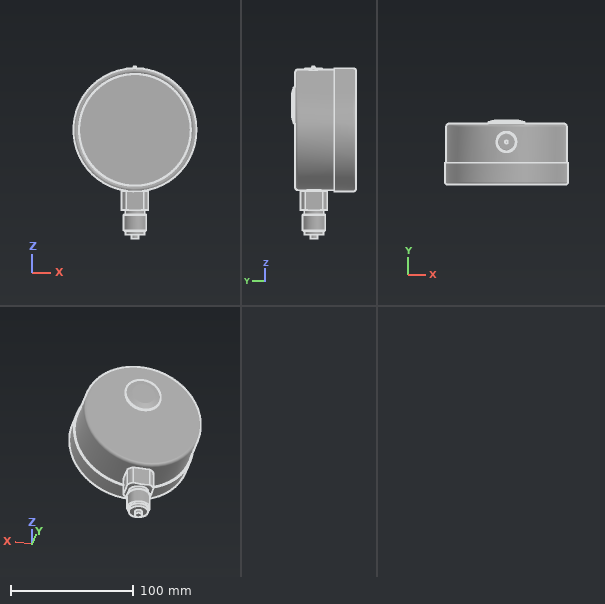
import cadquery as cq


CASE_DIA = 99.0
BEZEL_DIA = 100.8
BODY_DEPTH = 50.0
BEZEL_DEPTH = 18.1
CASE_BACK_ROUND = 2.7
FRONT_Y = -34.5
BACK_Y = FRONT_Y + BODY_DEPTH

WINDOW_DIA = 91.0
BEZEL_LIP_ROUND = 2.3
WINDOW_RECESS = 2.7
WINDOW_Y = FRONT_Y + WINDOW_RECESS

DISC_DIA = 30.0
DISC_SHOULDER_DIA = 29.4
DISC_FLAT_DIA = 18.8
DISC_RIM = 0.5
DISC_BEVEL = 0.5
DISC_HEIGHT = 2.5
DISC_DOME_RADIUS = 50.8
DISC_Z = 20.0

PLUG_Y = 0.4
PLUG_DIA = 15.0
PLUG_TOP_Z = 50.3
PLUG_ROOT_DEPTH = 4.2
PLUG_ROUND = 1.3
SEAT_DIA = 17.0
SEAT_FLOOR_DIA = 15.8
SEAT_DEPTH = 1.7
PIN_DIA = 2.5
PIN_TOP_Z = 52.1

WRENCH_WIDTH = 22.0
WRENCH_CORNER_DIA = 26.1
WRENCH_END_CONE = 0.5
NECK_DIA = 16.2
NECK_ROOT_DEPTH = 2.7
THREAD_DIA = 18.8
SPIGOT_DIA = 15.8
TIP_DIA = 6.0
WRENCH_TOP_Z = -50.0
WRENCH_BOTTOM_Z = -65.8
NECK_BOTTOM_Z = -68.9
THREAD_BOTTOM_Z = -83.0
SPIGOT_BOTTOM_Z = -85.8
TIP_BOTTOM_Z = -89.1
THREAD_TOP_CHAMFER = 0.7
THREAD_END_CHAMFER = 1.1


def cylinder_along_y(diameter, start_y, length):
    """Cylinder on the dial axis, running from start_y towards +Y."""
    plane = cq.Workplane("XZ", origin=(0, start_y, 0))
    return plane.circle(diameter / 2).extrude(-length)


def cylinder_along_z(diameter, bottom_z, top_z, y=0):
    """Vertical cylinder between two levels."""
    plane = cq.Workplane("XY", origin=(0, y, bottom_z))
    return plane.circle(diameter / 2).extrude(top_z - bottom_z)


def make_bezel():
    """Ring with a fully rounded front lip, closed by the window behind the lip."""
    outer = BEZEL_DIA / 2
    lip_y = FRONT_Y + BEZEL_LIP_ROUND
    lip_center = outer - BEZEL_LIP_ROUND
    bore = outer - 2 * BEZEL_LIP_ROUND
    back_y = FRONT_Y + BEZEL_DEPTH
    return (
        cq.Workplane("XY")
        .moveTo(0, back_y)
        .lineTo(outer, back_y)
        .lineTo(outer, lip_y)
        .threePointArc((lip_center, FRONT_Y), (bore, lip_y))
        .lineTo(WINDOW_DIA / 2, WINDOW_Y)
        .lineTo(0, WINDOW_Y)
        .close()
        .revolve(360, (0, 0), (0, 1))
    )


def make_housing():
    bezel = make_bezel()
    case = cylinder_along_y(CASE_DIA, WINDOW_Y, BACK_Y - WINDOW_Y)
    case = case.faces(">Y").edges().fillet(CASE_BACK_ROUND)
    return bezel.union(case)


def make_blowout_disc():
    """Low disc with a beveled rim and a domed shoulder, turned about its own axis."""
    rim_y = BACK_Y + DISC_RIM
    shoulder_y = rim_y + DISC_BEVEL
    top_y = BACK_Y + DISC_HEIGHT
    return (
        cq.Workplane("XY")
        .moveTo(0, BACK_Y)
        .lineTo(DISC_DIA / 2, BACK_Y)
        .lineTo(DISC_DIA / 2, rim_y)
        .lineTo(DISC_SHOULDER_DIA / 2, shoulder_y)
        .radiusArc((DISC_FLAT_DIA / 2, top_y), -DISC_DOME_RADIUS)
        .lineTo(0, top_y)
        .close()
        .revolve(360, (0, 0), (0, 1))
        .translate((0, 0, DISC_Z))
    )


def cut_plug_seat(body):
    """Tapered seat that leaves a narrow gap around the vent plug."""
    seat = (
        cq.Workplane("XY", origin=(0, PLUG_Y, CASE_DIA / 2))
        .circle(SEAT_DIA / 2)
        .workplane(offset=-SEAT_DEPTH)
        .circle(SEAT_FLOOR_DIA / 2)
        .loft()
    )
    return body.cut(seat)


def make_vent_plug():
    base_z = CASE_DIA / 2 - PLUG_ROOT_DEPTH
    plug = cylinder_along_z(PLUG_DIA, base_z, PLUG_TOP_Z, PLUG_Y)
    plug = plug.faces(">Z").edges().fillet(PLUG_ROUND)

    dome_z = PIN_TOP_Z - PIN_DIA / 2
    pin = cylinder_along_z(PIN_DIA, base_z, dome_z, PLUG_Y)
    dome = cq.Workplane("XY").sphere(PIN_DIA / 2).translate((0, PLUG_Y, dome_z))
    return plug.union(pin).union(dome)


def make_stem():
    wrench_height = WRENCH_TOP_Z - WRENCH_BOTTOM_Z
    wrench_base = cq.Workplane("XY", origin=(0, 0, WRENCH_BOTTOM_Z))
    wrench = wrench_base.rect(WRENCH_WIDTH, WRENCH_WIDTH).extrude(wrench_height)
    turned_corners = cylinder_along_z(WRENCH_CORNER_DIA, WRENCH_BOTTOM_Z, WRENCH_TOP_Z)
    end_cone_width = (WRENCH_CORNER_DIA - WRENCH_WIDTH) / 2
    turned_corners = turned_corners.faces("<Z").edges().chamfer(WRENCH_END_CONE, end_cone_width)
    wrench = wrench.intersect(turned_corners)

    neck_top_z = -CASE_DIA / 2 + NECK_ROOT_DEPTH
    neck = cylinder_along_z(NECK_DIA, NECK_BOTTOM_Z, neck_top_z)

    thread = cylinder_along_z(THREAD_DIA, THREAD_BOTTOM_Z, NECK_BOTTOM_Z)
    thread = thread.faces(">Z").edges().chamfer(THREAD_TOP_CHAMFER)
    thread = thread.faces("<Z").edges().chamfer(THREAD_END_CHAMFER)

    spigot = cylinder_along_z(SPIGOT_DIA, SPIGOT_BOTTOM_Z, THREAD_BOTTOM_Z)
    tip = cylinder_along_z(TIP_DIA, TIP_BOTTOM_Z, SPIGOT_BOTTOM_Z)
    return wrench.union(neck).union(thread).union(spigot).union(tip)


body = cut_plug_seat(make_housing())
result = body.union(make_blowout_disc()).union(make_vent_plug()).union(make_stem())